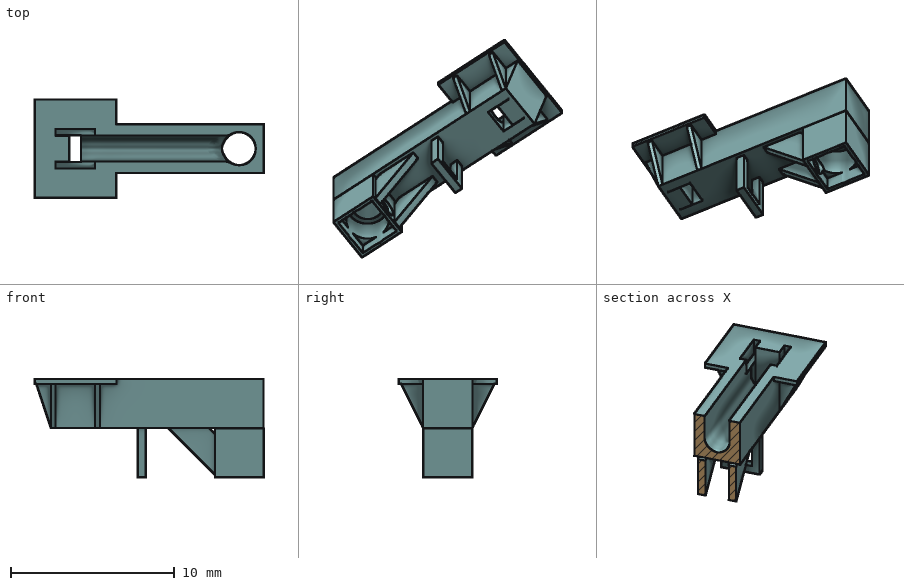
import cadquery as cq
total_length = 14.0
cube_side = 3.0
half_width = cube_side / 2

barrel_front = 1.0
barrel_end = 13.99
wall = 0.3

plate_length = 5.0
plate_width = 6.0
plate_thickness = 0.3
rib_spacing = 2.7

pocket_depth = 1.0
pocket_start = barrel_front + wall
pocket_end = barrel_front + rib_spacing

channel_width = 1.58
channel_radius = channel_width / 2
channel_axis_z = -1.58
channel_start = 2.83
bore_diameter = 2.0
bore_x = barrel_end - half_width
bore_rounding = 0.9

opening_width = 1.61
tongue_length = 0.84

frame_width = 2.5
frame_thickness = 0.5
guard_start = 6.29
strut_start = 8.15
strut_run = 2.5

block_gap = 0.01
block_front = total_length - cube_side
block_bottom = -plate_width
block_top = -cube_side - block_gap
block_bore_diameter = 2.6
block_pocket_side = 2.55
block_pocket_depth = 1.0
port_diameter = 1.2


def box(x_range, y_range, z_range):
    """Box between pairs of end coordinates."""
    (x0, x1), (y0, y1), (z0, z1) = x_range, y_range, z_range
    return cq.Workplane("XY").box(x1 - x0, y1 - y0, z1 - z0, centered=False).translate((x0, y0, z0))


def centered_box(x_range, width, z_range):
    """Box that is symmetric about the XZ plane."""
    return box(x_range, (-width / 2, width / 2), z_range)


def upright_cylinder(x, diameter, z_range):
    z0, z1 = z_range
    return cq.Workplane("XY", origin=(x, 0, z0)).circle(diameter / 2).extrude(z1 - z0)


def barrel_with_channel():
    """Barrel with the channel running into the bore, their shared edge rounded.

    The blank is deeper than the barrel while the edge is rounded, because the
    rounding radius is larger than the floor thickness.
    """
    blank_depth = cube_side + bore_rounding
    blank = centered_box((barrel_front, barrel_end), cube_side, (-blank_depth, 0))
    channel_profile = (
        cq.Workplane("YZ", origin=(channel_start, 0, 0))
        .moveTo(-channel_radius, 0)
        .lineTo(-channel_radius, channel_axis_z)
        .threePointArc((0, channel_axis_z - channel_radius), (channel_radius, channel_axis_z))
        .lineTo(channel_radius, 0)
        .close()
    )
    blank = blank.cut(channel_profile.extrude(bore_x - channel_start))
    blank = blank.cut(upright_cylinder(bore_x, bore_diameter, (-blank_depth, 0)))
    margin = 0.07
    half_reach = channel_radius + margin
    meeting_edges = cq.selectors.BoxSelector(
        (bore_x - bore_diameter / 2 - margin, -half_reach, channel_axis_z - half_reach),
        (bore_x - margin, half_reach, -margin),
    )
    blank = blank.edges(meeting_edges).fillet(bore_rounding)
    return blank.intersect(centered_box((barrel_front, barrel_end), cube_side, (-cube_side, 0)))


def front_pocket():
    """Pocket with a ledge, and the drop opening through the floor."""
    pocket = centered_box((pocket_start, pocket_end), cube_side - 2 * wall, (-pocket_depth, 0))
    opening = centered_box((pocket_start, channel_start), opening_width, (-cube_side, 0))
    return pocket.union(opening)


def tongue():
    """Tongue that fills the front of the drop opening, flush with the barrel top."""
    return centered_box((pocket_start, pocket_start + tongue_length), channel_width, (-cube_side, 0))


def plate():
    """Plate round the front of the barrel, open where the barrel passes through it."""
    blank = centered_box((0, plate_length), plate_width, (-plate_thickness, 0))
    return blank.cut(centered_box((barrel_front, plate_length), cube_side, (-plate_thickness, 0)))


def front_wedge():
    profile = [(0, 0), (barrel_front, 0), (barrel_front, -cube_side)]
    return cq.Workplane("XZ").polyline(profile).close().extrude(half_width, both=True)


def side_rib(x, side):
    profile = [(side * half_width, 0), (side * plate_width / 2, 0), (side * half_width, -cube_side)]
    return cq.Workplane("YZ", origin=(x, 0, 0)).polyline(profile).close().extrude(wall)


def guard():
    """U-shaped frame that hangs below the barrel."""
    x_range = (guard_start, guard_start + frame_thickness)
    frame = centered_box(x_range, frame_width, (block_bottom, -cube_side))
    window_width = frame_width - 2 * frame_thickness
    return frame.cut(centered_box(x_range, window_width, (block_bottom + frame_thickness, -cube_side)))


def strut_plate(side):
    """Plate that slopes down at 45 degrees from the barrel to the magazine block."""
    strut_end = strut_start + strut_run
    profile = [
        (strut_start, -cube_side),
        (strut_end, -cube_side),
        (block_front, -cube_side - (block_front - strut_end)),
        (block_front, -cube_side - (block_front - strut_start)),
    ]
    plate_center = side * (frame_width - frame_thickness) / 2
    blank = cq.Workplane("XZ").polyline(profile).close().extrude(frame_thickness / 2, both=True)
    return blank.translate((0, plate_center, 0))


def make_launcher():
    body = barrel_with_channel().cut(front_pocket()).union(tongue())
    body = body.union(plate()).union(front_wedge()).union(guard())
    for side in (-1, 1):
        body = body.union(strut_plate(side))
        for rib_x in (barrel_front, barrel_front + rib_spacing):
            body = body.union(side_rib(rib_x, side))
    return body


def make_magazine():
    """Block with a through bore, a square pocket in its underside and a round port in its front face."""
    center_x = (block_front + total_length) / 2
    pocket_top = block_bottom + block_pocket_depth
    pocket_x_range = (center_x - block_pocket_side / 2, center_x + block_pocket_side / 2)
    block = centered_box((block_front, total_length), cube_side, (block_bottom, block_top))
    block = block.cut(upright_cylinder(center_x, block_bore_diameter, (block_bottom, block_top)))
    block = block.cut(centered_box(pocket_x_range, block_pocket_side, (block_bottom, pocket_top)))
    port = cq.Workplane("YZ", origin=(block_front, 0, pocket_top)).circle(port_diameter / 2)
    return block.cut(port.extrude(center_x - block_front))


launcher = make_launcher()
magazine = make_magazine()
result = cq.Compound.makeCompound([launcher.val(), magazine.val()])